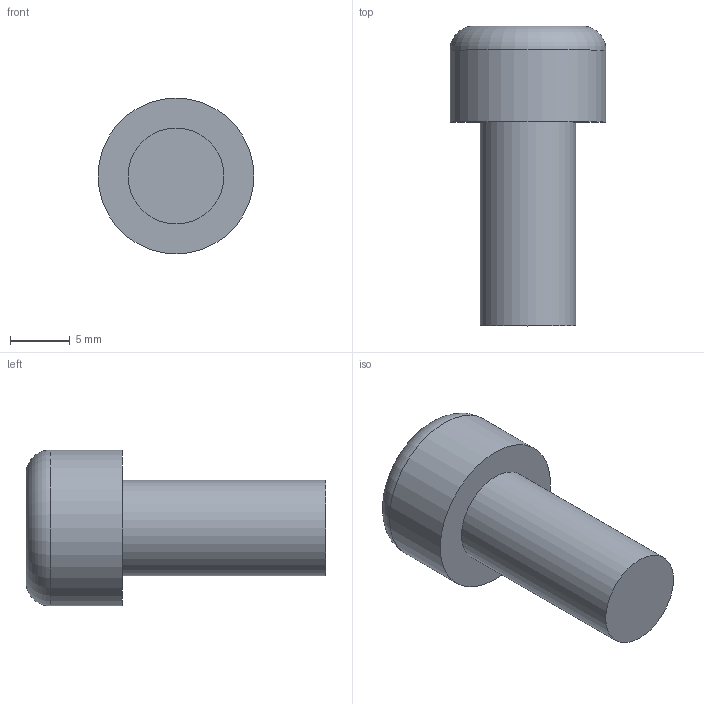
import cadquery as cq

shank_diameter = 8.0
shank_length = 17.0
head_diameter = 13.0
head_height = shank_diameter
crown_radius = 2.0


def make_head():
    """Cylindrical head with a rounded outer rim on its free end."""
    head = cq.Workplane("XZ").circle(head_diameter / 2).extrude(-head_height)
    return head.faces(">Y").edges().fillet(crown_radius)


def make_shank():
    """Plain cylindrical shank starting at the bearing face."""
    return cq.Workplane("XZ").circle(shank_diameter / 2).extrude(shank_length)


result = make_head().union(make_shank())